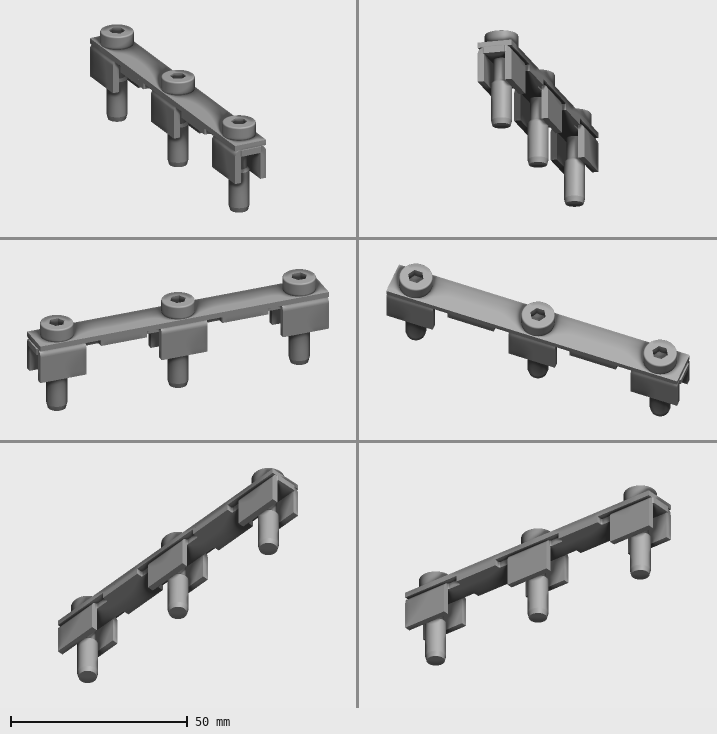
import cadquery as cq
import math


overall_length = 89
width = 10.0
screw_pitch = 37.0
screw_positions = [-screw_pitch, 0, screw_pitch]

bar_thickness = 1.6

strip_thickness = 1.9
spine_width = width - 2 * strip_thickness
saddle_length = 14.1
pad_length = 14.1
leg_drop = 8.2
relief_radius = 0.4
bar_length = 2 * screw_pitch + saddle_length
strip_top = -bar_thickness
strip_bottom = strip_top - strip_thickness
pad_positions = [-screw_pitch / 2, screw_pitch / 2]

head_diameter = 9.5
head_height = 4.0
head_edge_radius = 0.45
head_base_inset = 0.1
head_base_height = 0.45
neck_diameter = 4.5
neck_length = 9.9
neck_cone_length = 0.8
thread_diameter = 6.0
screw_length = 23.0
tip_diameter = 5.2
tip_length = 1.5
socket_across_flats = 4.0
socket_depth = 2.5
socket_cone_height = 1.2


def make_bar():
    """Flat bar with one hole per screw neck."""
    bar = cq.Workplane("XY").box(bar_length, width, bar_thickness, centered=(True, True, False))
    return drill_screw_holes(bar.translate((0, 0, -bar_thickness)))


def drill_screw_holes(body):
    """Cut the neck holes through a flat body lying just below Z = 0."""
    depth = bar_thickness + strip_thickness
    holes = (
        cq.Workplane("XY")
        .pushPoints([(x, 0) for x in screw_positions])
        .circle(neck_diameter / 2)
        .extrude(-depth)
    )
    return body.cut(holes)


def make_strip_plate():
    """Flat part of the strip, with a small radius where the spine meets a wider portion."""
    plate = cq.Workplane("XY").box(overall_length, spine_width, strip_thickness)
    portions = [(x, saddle_length) for x in screw_positions] + [(x, pad_length) for x in pad_positions]
    for x, length in portions:
        plate = plate.union(cq.Workplane("XY").box(length, width, strip_thickness).translate((x, 0, 0)))

    zone_x = (bar_length + overall_length) / 4
    zone_y = (spine_width + width) / 4
    corner_zone = cq.selectors.BoxSelector(
        (-zone_x, -zone_y, -strip_thickness), (zone_x, zone_y, strip_thickness)
    )
    plate = plate.edges("|Z").edges(corner_zone).fillet(relief_radius)
    return plate.translate((0, 0, (strip_top + strip_bottom) / 2))


def make_bend_waste(x, side):
    """Material outside the rounded fold of a saddle; side is +1 or -1 along Y."""
    inner_y = side * spine_width / 2
    outer_y = side * width / 2
    diagonal = strip_thickness * math.sqrt(0.5)
    length = saddle_length + 2 * relief_radius
    return (
        cq.Workplane("YZ", origin=(x - length / 2, 0, 0))
        .moveTo(inner_y, strip_top)
        .lineTo(outer_y, strip_top)
        .lineTo(outer_y, strip_bottom)
        .threePointArc((inner_y + side * diagonal, strip_bottom + diagonal), (inner_y, strip_top))
        .close()
        .extrude(length)
    )


def make_leg(x, side):
    """Downturned flange of a saddle."""
    y = side * (width - strip_thickness) / 2
    leg = cq.Workplane("XY").box(saddle_length, strip_thickness, leg_drop)
    return leg.translate((x, y, strip_bottom - leg_drop / 2))


def make_strip():
    """Clamp strip with its three folded saddles."""
    strip = make_strip_plate()
    for x in screw_positions:
        for side in (-1, 1):
            strip = strip.cut(make_bend_waste(x, side)).union(make_leg(x, side))
    return drill_screw_holes(strip)


def make_socket():
    """Hexagonal socket with a conical floor, its corners pointing along X."""
    corner_diameter = socket_across_flats / math.cos(math.pi / 6)
    floor_z = head_height - socket_depth
    hexagon = (
        cq.Workplane("XY", origin=(0, 0, floor_z - socket_cone_height))
        .polygon(6, corner_diameter)
        .extrude(socket_depth + socket_cone_height)
    )
    bore = (
        cq.Workplane("XZ")
        .moveTo(0, floor_z - socket_cone_height)
        .lineTo(corner_diameter / 2, floor_z)
        .lineTo(corner_diameter / 2, head_height)
        .lineTo(0, head_height)
        .close()
        .revolve(360, (0, 0, 0), (0, 1, 0))
    )
    return hexagon.intersect(bore)


def make_screw(x):
    """Socket-head screw with a waisted neck, standing at the given X."""
    head_radius = head_diameter / 2
    arc_offset = head_edge_radius * math.sqrt(0.5)
    arc_middle = (
        head_radius - head_edge_radius + arc_offset,
        head_height - head_edge_radius + arc_offset,
    )
    body = (
        cq.Workplane("XZ")
        .moveTo(0, head_height)
        .lineTo(head_radius - head_edge_radius, head_height)
        .threePointArc(arc_middle, (head_radius, head_height - head_edge_radius))
        .lineTo(head_radius, head_base_height)
        .lineTo(head_radius - head_base_inset, 0)
        .lineTo(neck_diameter / 2, 0)
        .lineTo(neck_diameter / 2, -neck_length)
        .lineTo(thread_diameter / 2, -neck_length - neck_cone_length)
        .lineTo(thread_diameter / 2, -screw_length + tip_length)
        .lineTo(tip_diameter / 2, -screw_length)
        .lineTo(0, -screw_length)
        .close()
        .revolve(360, (0, 0, 0), (0, 1, 0))
    )
    return body.cut(make_socket()).translate((x, 0, 0))


bar = make_bar()
strip = make_strip()
screws = [make_screw(x) for x in screw_positions]

result = cq.Compound.makeCompound(
    [bar.solids().val(), strip.solids().val(), *[screw.solids().val() for screw in screws]]
)